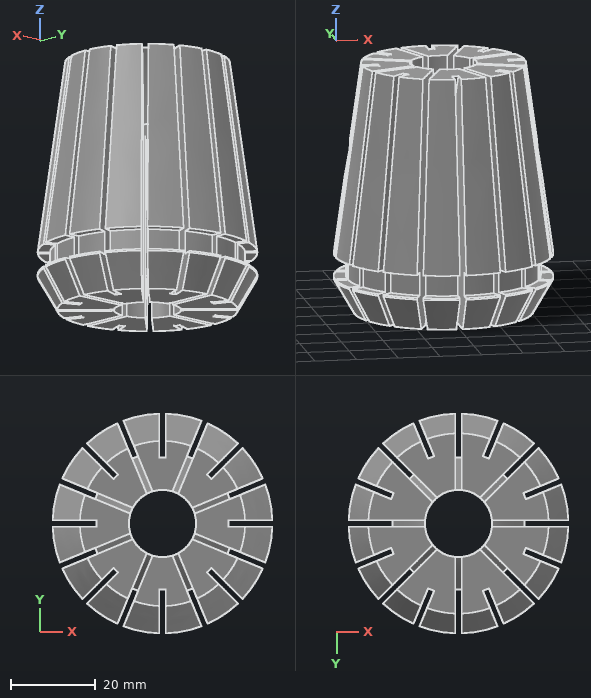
import cadquery as cq
import math


height = 60.0
outer_radius = 26.0
bore_radius = 7.9
taper_angle = 8.0
nose_angle = 30.0
rim_bottom = 8.1
groove_bottom = 8.5
groove_top = 14.0
groove_radius = 23.05

slit_pairs = 8
slit_width = 1.5
saw_radius = 36.0
saw_axis_radius = 43.4
lower_saw_height = 37.1
upper_saw_height = 24.4
clearance = 3.0

top_radius = outer_radius - (height - groove_top) * math.tan(math.radians(taper_angle))
bottom_radius = outer_radius - rim_bottom * math.tan(math.radians(nose_angle))


def make_body():
    """Revolve the half section, including the bore and the extraction groove."""
    half_section = [
        (bore_radius, 0),
        (bottom_radius, 0),
        (outer_radius, rim_bottom),
        (outer_radius, groove_bottom),
        (groove_radius, groove_bottom),
        (groove_radius, groove_top),
        (outer_radius, groove_top),
        (top_radius, height),
        (bore_radius, height),
    ]
    return cq.Workplane("XZ").polyline(half_section).close().revolve(360, (0, 0), (0, 1))


def make_slit(angle, saw_height, open_at_top):
    """Slit along one radius: a quarter of the saw disc, run straight out through the open end."""
    toward_open_end = 1 if open_at_top else -1
    open_end = height + clearance if open_at_top else -clearance
    inner_radius = saw_axis_radius - saw_radius
    half_chord = saw_radius * math.sqrt(0.5)
    arc_middle = (saw_axis_radius - half_chord, saw_height - toward_open_end * half_chord)
    arc_end = (saw_axis_radius, saw_height - toward_open_end * saw_radius)
    return (
        cq.Workplane("XZ")
        .moveTo(inner_radius, open_end)
        .lineTo(inner_radius, saw_height)
        .threePointArc(arc_middle, arc_end)
        .lineTo(saw_axis_radius, open_end)
        .close()
        .extrude(slit_width / 2, both=True)
        .rotate((0, 0, 0), (0, 0, 1), angle)
    )


pitch_angle = 360 / slit_pairs
result = make_body()
for index in range(slit_pairs):
    lower_angle = index * pitch_angle
    upper_angle = lower_angle + pitch_angle / 2
    result = result.cut(make_slit(lower_angle, lower_saw_height, open_at_top=False))
    result = result.cut(make_slit(upper_angle, upper_saw_height, open_at_top=True))